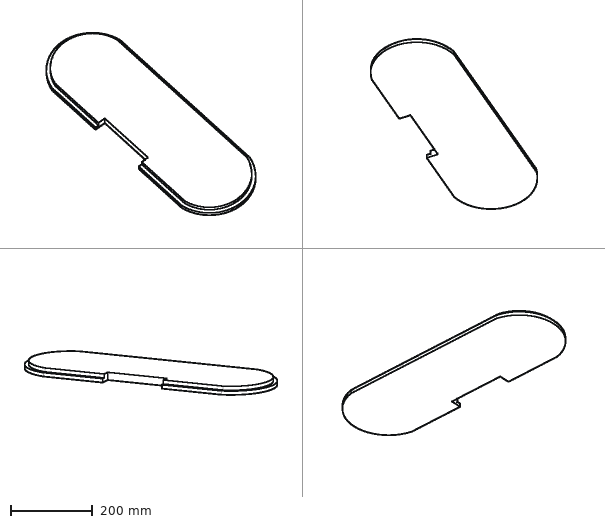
import cadquery as cq

length = 659.0
width = 222.0
thickness = 20.0

rim_width = 10.0
base_thickness = 10.0

straight_length = 480.0

notch_width = 159.5
notch_depth = 30.0


def rounded_plate(plate_length, plate_width, height):
    """Plate with straight long sides and a circular arc at each end."""
    half_straight = straight_length / 2
    half_length = plate_length / 2
    half_width = plate_width / 2
    return (
        cq.Workplane("XY")
        .moveTo(-half_straight, -half_width)
        .lineTo(half_straight, -half_width)
        .threePointArc((half_length, 0), (half_straight, half_width))
        .lineTo(-half_straight, half_width)
        .threePointArc((-half_length, 0), (-half_straight, -half_width))
        .close()
        .extrude(height)
    )


base = rounded_plate(length, width, base_thickness)
raised_plate = rounded_plate(length - 2 * rim_width, width - 2 * rim_width, thickness)

notch = (
    cq.Workplane("XY")
    .box(notch_width, notch_depth, thickness, centered=(True, False, False))
    .translate((0, -width / 2, 0))
)

result = base.union(raised_plate).cut(notch)